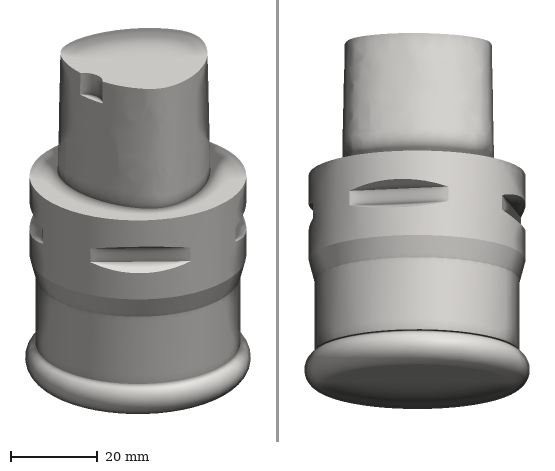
import cadquery as cq
import math

TOTAL_HEIGHT = 80.0
SHANK_LENGTH = 30.0
COLLAR_HEIGHT = 20.0
CONE_HEIGHT = 5.0
COLLAR_TOP_Z = TOTAL_HEIGHT - SHANK_LENGTH
COLLAR_BOTTOM_Z = COLLAR_TOP_Z - COLLAR_HEIGHT
BARREL_TOP_Z = COLLAR_BOTTOM_Z - CONE_HEIGHT

COLLAR_RADIUS = 50.0 / 2
BARREL_RADIUS = 47.4 / 2
RIM_RADIUS = 52.0 / 2
RIM_HEIGHT = 8.0
RIM_ROUND = RIM_HEIGHT / 2

SHANK_BASE_RADIUS = 17.6
SHANK_TOP_RADIUS = 17.0
LOBE_RISE = 1.2
LOBES = 3
LOBE_DIRECTION = math.radians(90)
CURVE_POINTS = 36

NOTCH_RADIUS = 4.5
NOTCH_CENTER_Y = -18.3
NOTCH_DEPTH = 5.4

GROOVE_COUNT = 4
GROOVE_FIRST_ANGLE = 45.0
GROOVE_Z = COLLAR_TOP_Z - COLLAR_HEIGHT / 2
GROOVE_FLOOR_DISTANCE = 22.2
GROOVE_FLOOR_HEIGHT = 3.4
GROOVE_FLANK_ANGLE = math.radians(30)


def lobed_wire(mean_radius, z):
    """Closed constant-width curve, the envelope of tangents at distance `support` from the axis."""
    points = []
    for i in range(CURVE_POINTS):
        angle = 2 * math.pi * i / CURVE_POINTS
        phase = LOBES * (angle - LOBE_DIRECTION)
        support = mean_radius + LOBE_RISE * math.cos(phase)
        slope = -LOBES * LOBE_RISE * math.sin(phase)
        x = support * math.cos(angle) - slope * math.sin(angle)
        y = support * math.sin(angle) + slope * math.cos(angle)
        points.append(cq.Vector(x, y, z))
    return cq.Wire.assembleEdges([cq.Edge.makeSpline(points, periodic=True)])


def make_shank():
    base = lobed_wire(SHANK_BASE_RADIUS, COLLAR_TOP_Z)
    top = lobed_wire(SHANK_TOP_RADIUS, TOTAL_HEIGHT)
    shank = cq.Workplane(cq.Solid.makeLoft([base, top], True))
    notch = (
        cq.Workplane("XY", origin=(0, NOTCH_CENTER_Y, TOTAL_HEIGHT - NOTCH_DEPTH))
        .circle(NOTCH_RADIUS)
        .extrude(NOTCH_DEPTH)
    )
    return shank.cut(notch)


def make_groove(angle):
    """Straight flat-floored groove with flared flanks, cut across the collar at `angle` degrees."""
    floor_half = GROOVE_FLOOR_HEIGHT / 2
    depth = COLLAR_RADIUS - GROOVE_FLOOR_DISTANCE
    mouth_half = floor_half + depth * math.tan(GROOVE_FLANK_ANGLE)
    return (
        cq.Workplane("XZ")
        .polyline([
            (GROOVE_FLOOR_DISTANCE, GROOVE_Z - floor_half),
            (COLLAR_RADIUS, GROOVE_Z - mouth_half),
            (COLLAR_RADIUS, GROOVE_Z + mouth_half),
            (GROOVE_FLOOR_DISTANCE, GROOVE_Z + floor_half),
        ])
        .close()
        .extrude(COLLAR_RADIUS, both=True)
        .rotate((0, 0, 0), (0, 0, 1), angle)
    )


def make_holder():
    """Barrel and collar on one axis, with the lobed shank on top."""
    holder = (
        cq.Workplane("XZ")
        .moveTo(0, RIM_HEIGHT)
        .lineTo(BARREL_RADIUS, RIM_HEIGHT)
        .lineTo(BARREL_RADIUS, BARREL_TOP_Z)
        .lineTo(COLLAR_RADIUS, COLLAR_BOTTOM_Z)
        .lineTo(COLLAR_RADIUS, COLLAR_TOP_Z)
        .lineTo(0, COLLAR_TOP_Z)
        .close()
        .revolve(360, (0, 0, 0), (0, 1, 0))
    )
    for i in range(GROOVE_COUNT):
        holder = holder.cut(make_groove(GROOVE_FIRST_ANGLE + i * 360 / GROOVE_COUNT))
    return holder.union(make_shank())


def make_rim():
    """Disc with a full-round edge that closes the lower end of the barrel."""
    flat_radius = RIM_RADIUS - RIM_ROUND
    return (
        cq.Workplane("XZ")
        .lineTo(flat_radius, 0)
        .threePointArc((RIM_RADIUS, RIM_ROUND), (flat_radius, RIM_HEIGHT))
        .lineTo(0, RIM_HEIGHT)
        .close()
        .revolve(360, (0, 0, 0), (0, 1, 0))
    )


holder = make_holder()
rim = make_rim()

result = cq.Compound.makeCompound([holder.solids().val(), rim.val()])